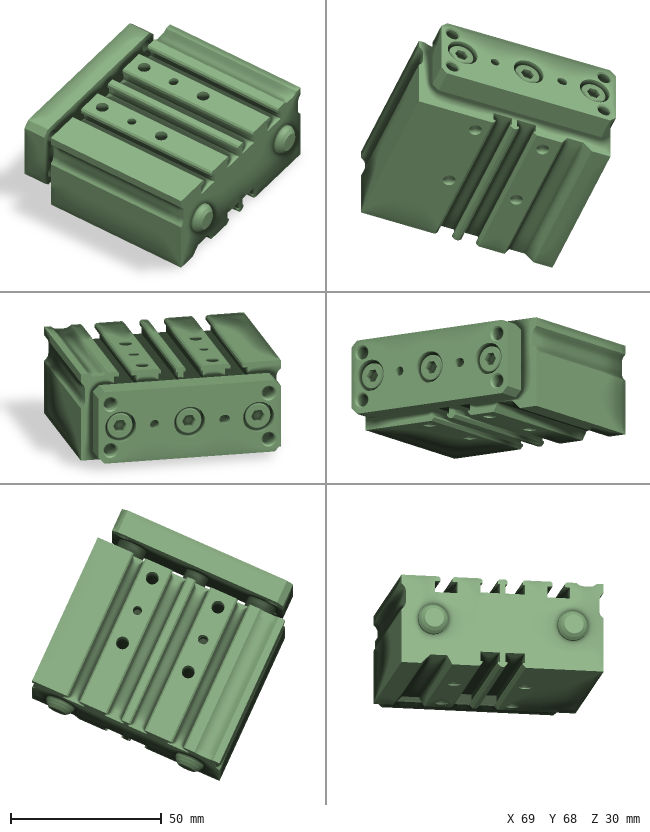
import cadquery as cq
import math

total_length = 69.0

plate_thickness = 8.1
plate_width = 62.1
plate_height = 24.85
plate_corner = 2.15

housing_front = 12.8
housing_length = 53.05
housing_width = 68.0
housing_height = 30.0

axis_height = housing_height / 2
housing_back = housing_front + housing_length
half_width = housing_width / 2

guide_spacing = 46.9
guide_diameter = 10.0
guide_tip_length = 2.1
guide_tip_break = 1.1
guide_tip_middle_inset = 0.7
guide_tip_inset = 1.8
piston_rod_diameter = 8.0
piston_rod_end = 55.2
rod_cover_diameter = 18.5
rod_cover_length = 13.8

screw_shank_diameter = 5.0
screw_head_diameter = 8.55
screw_head_edge = 0.3
screw_head_recess = 1.05
screw_hex_flats = 4.0
screw_hex_depth = 3.0
counterbore_diameter = 10.5
counterbore_depth = 6.0

plate_hole_spacing_y = 53.8
plate_hole_spacing_z = 16.0
plate_hole_diameter = 4.2
plate_hole_mouth = 5.2

locating_offset = 11.95
locating_diameter = 3.05
locating_slot_length = 3.5
locating_slot_depth = 3.05
locating_depth = 6.0

mounting_diameter = 4.3
mounting_pitch = 24.0
mounting_first_x = 18.0

slot_lip = 1.65
outer_slot_offset = 18.9
outer_slot_depth = 5.45
outer_slot_mouth = 4.15
outer_slot_width = 7.6
inner_slot_offset = 4.2
inner_slot_depth = 4.8
inner_slot_mouth = 5.2
inner_slot_width = 6.6
top_lip_chamfer = 0.55
bottom_lip_chamfer = 1.05

groove_radius = 3.0
side_groove_depth = 1.45
side_groove_floor = 3.6
side_groove_height = 22.6
top_groove_depth = 1.05
top_groove_floor = 2.2
top_groove_offset = 28.3

bottom_channel_left = -16.9
bottom_channel_right = -27.4
bottom_channel_depth = 3.05
bottom_channel_left_run = 1.7


def along_x(start):
    """Workplane facing +X at the given X, with local x = Y and local y = Z."""
    return cq.Workplane("YZ", origin=(start, 0, 0))


def cylinder_x(diameter, start, end, y, z=axis_height):
    return along_x(start).center(y, z).circle(diameter / 2).extrude(end - start)


def run_through_housing(outline):
    return outline.close().extrude(housing_length)


def locating_holes(face, slot_position, slot_angle):
    """Two round holes cut behind a face at opposite positions, the first one slotted at its mouth."""
    x, y = slot_position
    rounds = cq.Workplane(face).pushPoints([(x, y), (-x, -y)]).circle(locating_diameter / 2)
    slot = cq.Workplane(face).center(x, y).slot2D(locating_slot_length, locating_diameter, slot_angle)
    return rounds.extrude(locating_depth).union(slot.extrude(locating_slot_depth))


def t_slot(offset, depth, mouth, width, lip_chamfer):
    """T-slot cut down from the top face."""
    half_mouth = mouth / 2
    half_slot = width / 2
    top = housing_height
    lip_bottom = top - slot_lip
    floor = top - depth
    half_outline = [
        (half_mouth + lip_chamfer, top),
        (half_mouth, top - lip_chamfer),
        (half_mouth, lip_bottom),
        (half_slot, lip_bottom),
        (half_slot, floor),
    ]
    right = [(offset + y, z) for y, z in half_outline]
    left = [(offset - y, z) for y, z in reversed(half_outline)]
    return run_through_housing(along_x(housing_front).polyline(right + left))


def rounded_groove(depth, floor):
    """Groove below local height 0: 45-degree flanks that run through arcs into a flat floor."""
    half_floor = floor / 2
    bend = math.pi / 4
    arc_end_y = half_floor + groove_radius * math.sin(bend)
    arc_end_z = groove_radius * (1 - math.cos(bend)) - depth
    arc_mid_y = half_floor + groove_radius * math.sin(bend / 2)
    arc_mid_z = groove_radius * (1 - math.cos(bend / 2)) - depth
    half_mouth = arc_end_y - arc_end_z
    outline = (
        along_x(housing_front)
        .moveTo(-half_mouth, 0)
        .lineTo(-arc_end_y, arc_end_z)
        .threePointArc((-arc_mid_y, arc_mid_z), (-half_floor, -depth))
        .lineTo(half_floor, -depth)
        .threePointArc((arc_mid_y, arc_mid_z), (arc_end_y, arc_end_z))
        .lineTo(half_mouth, 0)
    )
    return run_through_housing(outline)


def bottom_channel():
    """Channel in the underside with one steep and one 45-degree flank."""
    outline = along_x(housing_front).polyline([
        (bottom_channel_left, 0),
        (bottom_channel_left - bottom_channel_left_run, bottom_channel_depth),
        (bottom_channel_right + bottom_channel_depth, bottom_channel_depth),
        (bottom_channel_right, 0),
    ])
    return run_through_housing(outline)


def make_housing():
    housing = along_x(housing_front).center(0, axis_height).rect(housing_width, housing_height)
    housing = housing.extrude(housing_length)

    side_groove = rounded_groove(side_groove_depth, side_groove_floor)
    for side in (-1, 1):
        outer_slot = t_slot(
            side * outer_slot_offset, outer_slot_depth, outer_slot_mouth, outer_slot_width, top_lip_chamfer
        )
        upper_slot, lower_slot = [
            t_slot(side * inner_slot_offset, inner_slot_depth, inner_slot_mouth, inner_slot_width, lip_chamfer)
            for lip_chamfer in (top_lip_chamfer, bottom_lip_chamfer)
        ]
        housing = housing.cut(outer_slot).cut(upper_slot)
        housing = housing.cut(lower_slot.mirror("XY", (0, 0, axis_height)))
        turned_groove = side_groove.rotate((0, 0, 0), (1, 0, 0), -side * 90)
        housing = housing.cut(turned_groove.translate((0, side * half_width, side_groove_height)))

    top_groove = rounded_groove(top_groove_depth, top_groove_floor)
    housing = housing.cut(top_groove.translate((0, top_groove_offset, housing_height)))
    housing = housing.cut(bottom_channel())

    mounting_points = [
        (mounting_first_x + i * mounting_pitch, side * locating_offset) for i in (0, 1) for side in (-1, 1)
    ]
    housing = housing.cut(
        cq.Workplane("XY").pushPoints(mounting_points).circle(mounting_diameter / 2).extrude(housing_height)
    )

    locating_x = mounting_first_x + mounting_pitch / 2
    top_face = cq.Plane((locating_x, 0, housing_height), xDir=(1, 0, 0), normal=(0, 0, -1))
    housing = housing.cut(locating_holes(top_face, (0, -locating_offset), 90))

    for side in (-1, 1):
        housing = housing.cut(cylinder_x(guide_diameter, housing_front, housing_back, side * guide_spacing / 2))
    housing = housing.cut(cylinder_x(piston_rod_diameter, housing_front, piston_rod_end, 0))
    cover_end = housing_front + rod_cover_length
    return housing.cut(cylinder_x(rod_cover_diameter, housing_front, cover_end, 0))


def chamfered_hole(y, z):
    """Through hole whose front edge is chamfered at 45 degrees."""
    radius = plate_hole_diameter / 2
    mouth_radius = plate_hole_mouth / 2
    outline = cq.Workplane("XY").polyline([
        (0, 0),
        (0, mouth_radius),
        (mouth_radius - radius, radius),
        (plate_thickness, radius),
        (plate_thickness, 0),
    ])
    return outline.close().revolve(360, (0, 0, 0), (1, 0, 0)).translate((0, y, z))


def make_plate():
    plate = along_x(0).center(0, axis_height).rect(plate_width, plate_height).extrude(plate_thickness)
    plate = plate.edges("|X").chamfer(plate_corner)

    for y in (-guide_spacing / 2, 0, guide_spacing / 2):
        plate = plate.cut(cylinder_x(counterbore_diameter, 0, counterbore_depth, y))
        plate = plate.cut(cylinder_x(screw_shank_diameter, counterbore_depth, plate_thickness, y))

    for y_side in (-1, 1):
        for z_side in (-1, 1):
            y = y_side * plate_hole_spacing_y / 2
            z = axis_height + z_side * plate_hole_spacing_z / 2
            plate = plate.cut(chamfered_hole(y, z))

    return plate.cut(locating_holes(cq.Plane.YZ(origin=(0, 0, axis_height)), (-locating_offset, 0), 0))



def screw(y):
    """Socket-head screw in the plate, formed on the front end of a rod."""
    head = cylinder_x(screw_head_diameter, screw_head_recess, counterbore_depth, y)
    head = head.faces("<X").edges().fillet(screw_head_edge)
    hex_corners = screw_hex_flats / math.cos(math.pi / 6)
    socket = along_x(screw_head_recess).center(y, axis_height).polygon(6, hex_corners)
    shank = cylinder_x(screw_shank_diameter, counterbore_depth, plate_thickness, y)
    return head.cut(socket.extrude(screw_hex_depth)).union(shank)


def make_guide_rod(y):
    radius = guide_diameter / 2
    tip_start = total_length - guide_tip_length
    outline = cq.Workplane("XY").polyline([
        (plate_thickness, 0),
        (plate_thickness, radius),
        (tip_start, radius),
        (tip_start + guide_tip_break, radius - guide_tip_middle_inset),
        (total_length, radius - guide_tip_inset),
        (total_length, 0),
    ])
    rod = outline.close().revolve(360, (0, 0, 0), (1, 0, 0)).translate((0, y, axis_height))
    return rod.union(screw(y))


def make_piston_rod():
    return cylinder_x(piston_rod_diameter, plate_thickness, piston_rod_end, 0).union(screw(0))


def make_rod_cover():
    """Bushing in the housing's front end that carries the piston rod."""
    cover_end = housing_front + rod_cover_length
    cover = cylinder_x(rod_cover_diameter, housing_front, cover_end, 0)
    return cover.cut(cylinder_x(piston_rod_diameter, housing_front, cover_end, 0))


housing = make_housing()
plate = make_plate()
piston_rod = make_piston_rod()
rod_cover = make_rod_cover()
guide_rods = [make_guide_rod(side * guide_spacing / 2) for side in (-1, 1)]

result = cq.Compound.makeCompound([
    housing.val(),
    plate.val(),
    piston_rod.val(),
    rod_cover.val(),
    *[rod.val() for rod in guide_rods],
])